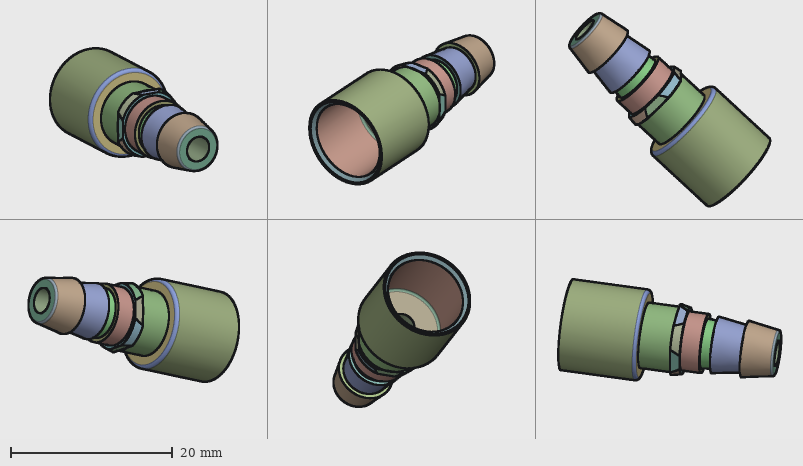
import cadquery as cq

length = 26.5

socket_radius = 5.7
socket_end = 9.78
socket_edge = 0.45
mouth_radius = 5.45
bore_radius = 4.93
mouth_depth = 0.53
bore_depth = 9.0
bore_corner = 0.3
through_radius = 1.6

sleeve_radius = 4.1
sleeve_end = 13.78
collar_start_radius = 4.45
collar_end_radius = 4.2
collar_end = 14.97
flat_distance = 4.03
neck_radius = 3.7
neck_end = 17.38

stem_start_radius = 3.15
stem_end_radius = 3.0
barb_starts = (18.7, 22.47)
barb_radius = 3.55
barb_root_radius = 2.97
tip_edge = 0.26
tip_side_radius = 2.92
tip_face_radius = tip_side_radius - tip_edge


def cylinder(radius, start, end):
    return cq.Workplane("YZ", origin=(start, 0, 0)).circle(radius).extrude(end - start)


def cone(start_radius, end_radius, start, end):
    profile = [(start, 0), (end, 0), (end, end_radius), (start, start_radius)]
    return cq.Workplane("XY").polyline(profile).close().revolve(360, (0, 0, 0), (1, 0, 0))


def make_socket():
    return cylinder(socket_radius, 0, socket_end).faces(">X").edges().fillet(socket_edge)


def make_collar():
    """Tapered ring cut by four flats facing along Y and Z."""
    ring = cone(collar_start_radius, collar_end_radius, sleeve_end, collar_end)
    flats = (
        cq.Workplane("YZ", origin=(sleeve_end, 0, 0))
        .rect(2 * flat_distance, 2 * flat_distance)
        .extrude(collar_end - sleeve_end)
    )
    return ring.intersect(flats)


def make_barbs():
    first, second = barb_starts
    tip_start = length - tip_edge
    stem = cone(stem_start_radius, stem_end_radius, neck_end, first)
    first_barb = cone(barb_radius, barb_root_radius, first, second)
    second_barb = cone(barb_radius, tip_side_radius, second, tip_start)
    tip_profile = (
        cq.Workplane("XY")
        .moveTo(tip_start, 0)
        .lineTo(length, 0)
        .lineTo(length, tip_face_radius)
        .radiusArc((tip_start, tip_side_radius), -tip_edge)
        .close()
    )
    tip = tip_profile.revolve(360, (0, 0, 0), (1, 0, 0))
    return stem.union(first_barb).union(second_barb).union(tip)


def make_bore():
    """Socket bore with a rounded floor corner and a flared mouth."""
    bore = cylinder(bore_radius, 0, bore_depth).faces(">X").edges().fillet(bore_corner)
    return bore.union(cone(mouth_radius, bore_radius, 0, mouth_depth))


body = (
    make_socket()
    .union(cylinder(sleeve_radius, socket_end, sleeve_end))
    .union(make_collar())
    .union(cylinder(neck_radius, collar_end, neck_end))
    .union(make_barbs())
)
result = body.cut(make_bore()).cut(cylinder(through_radius, 0, length))